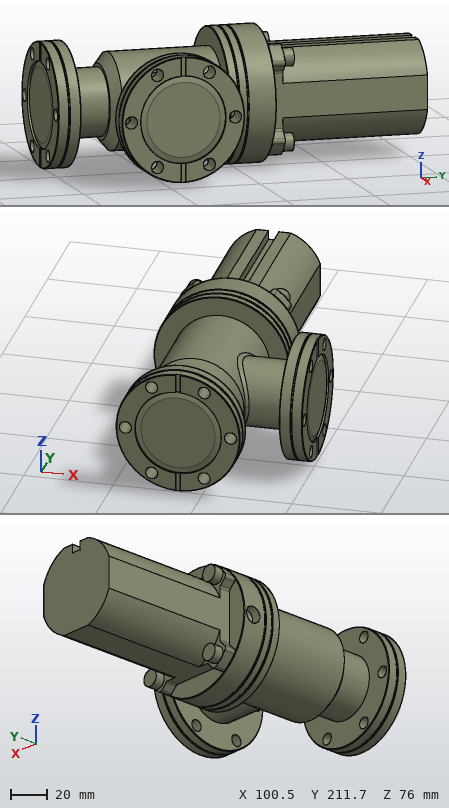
import cadquery as cq
import math

total_length = 211.7
margin = 2.1

flange_radius = 34.7
flange_thickness = 13.0
flange_chamfer = 0.5
rim_groove_offset = 6.0
rim_groove_width = 0.8
rim_groove_depth = 0.6
bolt_count = 6
bolt_circle_radius = 29.5
bolt_hole_radius = 3.4
recess_radius = 24.1
recess_depth = 1.3
seal_top_radius = 20.7
seal_height = 1.0
leak_slot_width = 2.5
leak_slot_depth = 0.6

tube_radius = 19.0
body_radius = 27.0
cone_start = 33.5
cone_small_radius = 21.0
cone_end = 38.7
branch_position = 62.5
branch_face = 62.5
weld_chamfer = 1.7

bonnet_radius = 38.0
bonnet_start = 96.3
bonnet_end = 122.5
bonnet_groove_positions = (101.6, 106.7)
port_radius = 4.9
port_position = 116.0
port_depth = 6.0
port_tip_angle = 118.0

tower_radius = 27.7
tower_half_width = 26.0
base_top = 129.8
lug_width = 14.0
lug_fillet = 2.1
screw_count = 4
screw_circle_radius = 33.2
screw_radius = 4.97
screw_top = 135.5
slot_width = 5.7
slot_depth = 5.0


def cylinder_y(radius, start, end):
    """Cylinder on the main axis between two Y positions."""
    return cq.Workplane("XZ", origin=(0, start, 0)).circle(radius).extrude(start - end)


def rim_groove(radius, position):
    """Ring that cuts a groove into a rim, starting at the given Y position."""
    end = position + rim_groove_width
    ring = cylinder_y(radius + margin, position, end)
    return ring.cut(cylinder_y(radius - rim_groove_depth, position, end))


def port_flange():
    """Bolted flange with its sealing face on Y = 0, facing -Y."""
    flange = cylinder_y(flange_radius, 0, flange_thickness).faces("<Y or >Y").chamfer(flange_chamfer)
    flange = flange.cut(rim_groove(flange_radius, rim_groove_offset))

    leak_slots = cq.Workplane("XY").box(leak_slot_width, 2 * leak_slot_depth, 2 * flange_radius)
    flange = flange.cut(leak_slots)
    flange = flange.cut(cylinder_y(recess_radius, 0, recess_depth))

    land = (
        cq.Workplane("XY")
        .polyline([
            (0, recess_depth),
            (recess_radius, recess_depth),
            (seal_top_radius, recess_depth - seal_height),
            (0, recess_depth - seal_height),
        ])
        .close()
        .revolve(360, (0, 0, 0), (0, 1, 0))
    )
    flange = flange.union(land)

    holes = (
        cq.Workplane("XZ")
        .polarArray(bolt_circle_radius, 0, 360, bolt_count)
        .circle(bolt_hole_radius)
        .extrude(-flange_thickness)
    )
    return flange.cut(holes)


def tee_body():
    """Main barrel with its cone, and the branch tube with a weld at the joint."""
    barrel = (
        cq.Workplane("XY")
        .polyline([
            (0, cone_start),
            (cone_small_radius, cone_start),
            (body_radius, cone_end),
            (body_radius, bonnet_start),
            (0, bonnet_start),
        ])
        .close()
        .revolve(360, (0, 0, 0), (0, 1, 0))
    )
    tube_end = branch_face - flange_thickness
    branch = cq.Workplane("YZ").center(branch_position, 0).circle(tube_radius).extrude(tube_end)
    reach = tube_radius + margin
    near_joint = cq.selectors.BoxSelector(
        (cone_small_radius / 2, branch_position - reach, -reach),
        (body_radius + margin, branch_position + reach, reach),
        boundingbox=True,
    )
    return barrel.union(branch).edges(near_joint).chamfer(weld_chamfer)


def bonnet_flange():
    """Bonnet flange, its rim split into three rings by grooves, with a blind radial port on the -X side."""
    bonnet = cylinder_y(bonnet_radius, bonnet_start, bonnet_end).faces("<Y or >Y").chamfer(flange_chamfer)
    for position in bonnet_groove_positions:
        bonnet = bonnet.cut(rim_groove(bonnet_radius, position - rim_groove_width / 2))

    tip_length = port_radius / math.tan(math.radians(port_tip_angle / 2))
    drill = (
        cq.Workplane("XY", origin=(-bonnet_radius, port_position, 0))
        .polyline([
            (0, 0),
            (0, port_radius),
            (port_depth, port_radius),
            (port_depth + tip_length, 0),
        ])
        .close()
        .revolve(360, (0, 0, 0), (1, 0, 0))
    )
    return bonnet.cut(drill)


def flatted_round(start, end):
    """Round bar with four flats, between two Y positions."""
    length = end - start
    width = 2 * tower_half_width
    square = cq.Workplane("XY").box(width, length, width).translate((0, start + length / 2, 0))
    return cylinder_y(tower_radius, start, end).intersect(square)


def actuator():
    """Slotted tower on a base whose four diagonal lugs carry screws."""
    base_thickness = base_top - bonnet_end
    base_middle = (0, bonnet_end + base_thickness / 2, 0)

    width = 2 * tower_half_width
    core = cq.Workplane("XY").box(width, base_thickness, width)

    bar = cq.Workplane("XY").box(lug_width, base_thickness, 2 * (bonnet_radius + margin))
    for angle in (45, -45):
        core = core.union(bar.rotate((0, 0, 0), (0, 1, 0), angle))
    base = core.translate(base_middle).intersect(cylinder_y(bonnet_radius, bonnet_end, base_top))
    base = base.edges("|Y").fillet(lug_fillet)

    tower = flatted_round(bonnet_end, total_length).union(base)
    slot_length = total_length - bonnet_end
    slot = (
        cq.Workplane("XY")
        .box(slot_width, slot_length, 2 * slot_depth)
        .translate((0, bonnet_end + slot_length / 2, tower_half_width))
    )
    tower = tower.cut(slot)

    screws = (
        cq.Workplane("XZ", origin=(0, base_top, 0))
        .polarArray(screw_circle_radius, 45, 360, screw_count)
        .circle(screw_radius)
        .extrude(base_top - screw_top)
    )
    return tower.union(screws)


inlet_flange = port_flange()
branch_flange = (
    port_flange()
    .rotate((0, 0, 0), (0, 0, 1), 90)
    .translate((branch_face, branch_position, 0))
)
inlet_tube = cylinder_y(tube_radius, flange_thickness, cone_start)

result = (
    tee_body()
    .union(inlet_tube)
    .union(inlet_flange)
    .union(branch_flange)
    .union(bonnet_flange())
    .union(actuator())
)